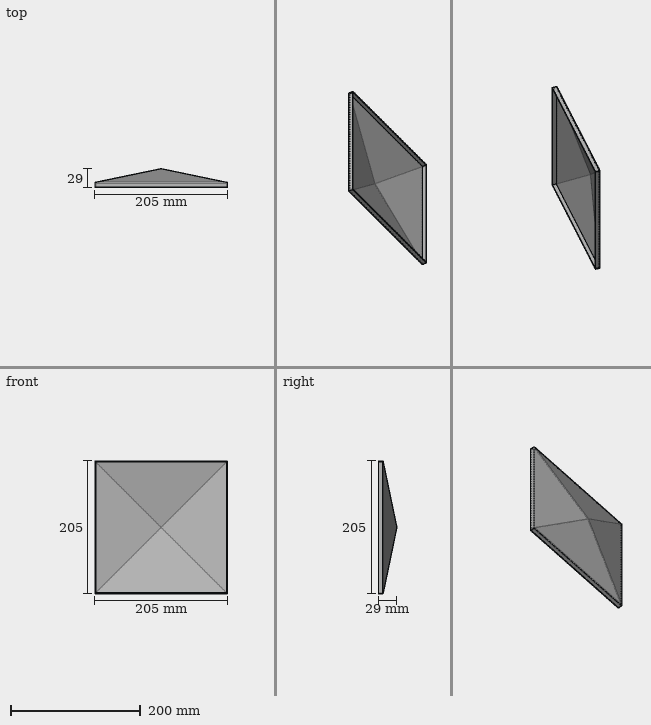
import cadquery as cq

side = 205.0
total_depth = 29.0
skirt_depth = 7.5
wall = 1.8
roof_thickness = 1.8
edge_radius = 1.6

rim_y = -total_depth / 2


def square_prism(width, depth):
    """Square block standing on the rim plane and reaching `depth` toward +Y."""
    return cq.Workplane("XZ", origin=(0, rim_y, 0)).rect(width, width).extrude(-depth)


def pyramid(width, base_y, apex_y):
    """Square pyramid with its base at base_y and its apex on the Y axis at apex_y."""
    half = width / 2
    corners = [
        (-half, base_y, -half),
        (half, base_y, -half),
        (half, base_y, half),
        (-half, base_y, half),
    ]
    apex = (0, apex_y, 0)
    faces = [cq.Face.makeFromWires(cq.Wire.makePolygon(corners, close=True))]
    for index, corner in enumerate(corners):
        following = corners[(index + 1) % len(corners)]
        faces.append(cq.Face.makeFromWires(cq.Wire.makePolygon([corner, following, apex], close=True)))
    return cq.Workplane(obj=cq.Solid.makeSolid(cq.Shell.makeShell(faces)))


def pyramid_capped_block(width, prism_depth, apex_depth):
    """Square block topped by a pyramid, both depths measured from the rim plane."""
    roof = pyramid(width, rim_y + prism_depth, rim_y + apex_depth)
    return square_prism(width, prism_depth).union(roof)


outer = pyramid_capped_block(side, skirt_depth, total_depth)
skirt_corners = outer.edges("|Y")
roof_foot = outer.edges("|X or |Z").edges(">Y")
outer = outer.newObject(skirt_corners.vals() + roof_foot.vals()).fillet(edge_radius)

roof_slope = (total_depth - skirt_depth) / (side / 2)
cavity_width = side - 2 * wall
cavity_apex_depth = total_depth - roof_thickness
cavity_wall_depth = cavity_apex_depth - roof_slope * cavity_width / 2
cavity = pyramid_capped_block(cavity_width, cavity_wall_depth, cavity_apex_depth)

result = outer.cut(cavity)